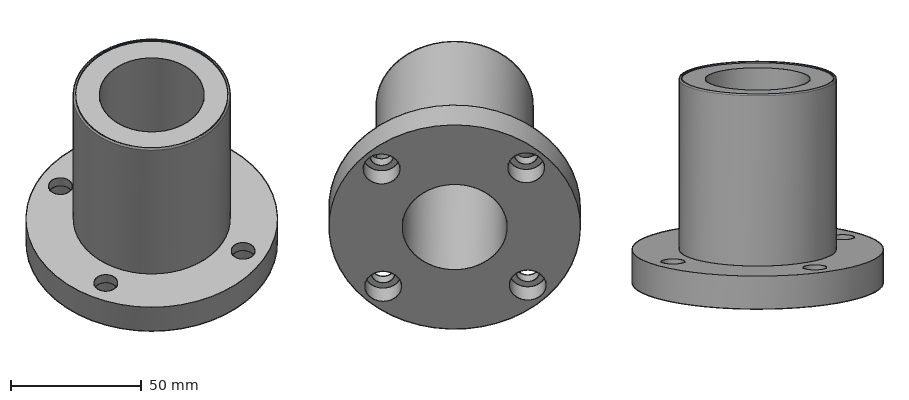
import cadquery as cq

flange_diameter = 96.0
flange_thickness = 13.0
total_height = 80.0

sleeve_diameter = 60.0
bore_diameter = 40.0
rim_fillet = 0.5
lip_width = 1.0
lip_height = 0.5

bolt_hole_count = 4
bolt_hole_diameter = 9.0
bolt_circle_diameter = (flange_diameter + sleeve_diameter) / 2
counterbore_diameter = 14.0
counterbore_depth = 8.6


def make_flange():
    """Round base plate with its underside on Z = 0."""
    return cq.Workplane("XY").circle(flange_diameter / 2).extrude(flange_thickness)


def make_sleeve():
    """Upright cylinder with a rounded rim and a shallow recess inside the lip."""
    cylinder = cq.Workplane("XY").circle(sleeve_diameter / 2).extrude(total_height)
    rounded = cylinder.faces(">Z").edges().fillet(rim_fillet)
    recess = (
        cq.Workplane("XY", origin=(0, 0, total_height - lip_height))
        .circle(sleeve_diameter / 2 - lip_width)
        .extrude(lip_height)
    )
    return rounded.cut(recess)


def make_bore():
    """Cutter for the central hole through flange and sleeve."""
    return cq.Workplane("XY").circle(bore_diameter / 2).extrude(total_height)


def make_bolt_cylinders(diameter, height):
    """Ring of equal upright cylinders on the bolt circle, starting at Z = 0."""
    return (
        cq.Workplane("XY")
        .polarArray(bolt_circle_diameter / 2, 0, 360, bolt_hole_count)
        .circle(diameter / 2)
        .extrude(height)
    )


bolt_holes = make_bolt_cylinders(bolt_hole_diameter, flange_thickness)
counterbores = make_bolt_cylinders(counterbore_diameter, counterbore_depth)

body = make_flange().union(make_sleeve())
result = body.cut(make_bore()).cut(bolt_holes).cut(counterbores)